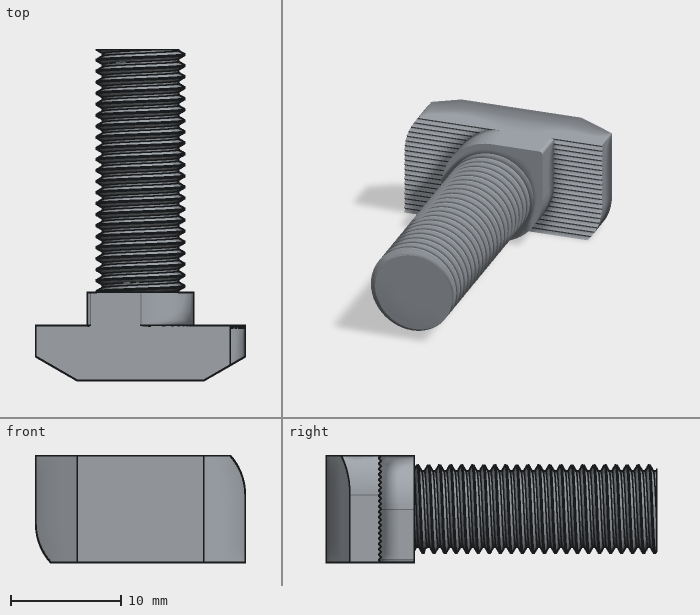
import cadquery as cq
import math


HEAD_LENGTH = 19.0
HEAD_WIDTH = 9.7
HEAD_THICKNESS = 5.0
HEAD_FLAT_LENGTH = 11.5
HEAD_CHAMFER_ANGLE = 30.0
CORNER_RADIUS = 5.3
CORNER_START = 1.3

TOOTH_COUNT = 20
TOOTH_PITCH = HEAD_WIDTH / TOOTH_COUNT
TOOTH_DEPTH = TOOTH_PITCH / 2

NECK_TOP = 8.0
NECK_SMALL_RADIUS = 0.3
NECK_LARGE_RADIUS = HEAD_WIDTH / 2

BOLT_LENGTH = 30.0
MAJOR_RADIUS = 4.0
PITCH = 1.0
FLANK_ANGLE = math.radians(60 / 2)
SHARP_HEIGHT = PITCH / 2 / math.tan(FLANK_ANGLE)
CREST_WIDTH = PITCH / 8
ROOT_WIDTH = PITCH / 4
THREAD_DEPTH = 5 / 8 * SHARP_HEIGHT
ROOT_RADIUS = MAJOR_RADIUS - THREAD_DEPTH
END_CREST_GAP = 0.45
ROOT_OVERLAP = 0.05
CORE_SEAM_ANGLE = 77.0


def extrude_along_bolt(profile, bottom, top):
    """Extrude a profile drawn in X and Z along Y, from bottom to top."""
    return profile.extrude(-(top - bottom)).translate((0, bottom, 0))


def make_head():
    half_length = HEAD_LENGTH / 2
    half_flat = HEAD_FLAT_LENGTH / 2
    half_width = HEAD_WIDTH / 2
    chamfer_height = (half_length - half_flat) * math.tan(math.radians(HEAD_CHAMFER_ANGLE))
    bar = (
        cq.Workplane("XY", origin=(0, 0, -half_width))
        .moveTo(-half_flat, 0)
        .lineTo(half_flat, 0)
        .lineTo(half_length, chamfer_height)
        .lineTo(half_length, HEAD_THICKNESS)
        .lineTo(-half_length, HEAD_THICKNESS)
        .lineTo(-half_length, chamfer_height)
        .close()
        .extrude(HEAD_WIDTH)
    )

    rise = half_width - CORNER_START
    corner_inset = CORNER_RADIUS - math.sqrt(CORNER_RADIUS**2 - rise**2)
    corner_x = half_length - corner_inset
    outline = (
        cq.Workplane("XZ")
        .moveTo(half_length, -half_width)
        .lineTo(half_length, CORNER_START)
        .radiusArc((corner_x, half_width), -CORNER_RADIUS)
        .lineTo(-half_length, half_width)
        .lineTo(-half_length, -CORNER_START)
        .radiusArc((-corner_x, -half_width), -CORNER_RADIUS)
        .close()
    )
    return bar.intersect(extrude_along_bolt(outline, 0, HEAD_THICKNESS))


def cut_serrations(head):
    """Cut V grooves along X into the underside of the head."""
    outline = cq.Workplane("YZ", origin=(-HEAD_LENGTH / 2, 0, 0)).moveTo(HEAD_THICKNESS, -HEAD_WIDTH / 2)
    for tooth in range(TOOTH_COUNT):
        crest_z = tooth * TOOTH_PITCH - HEAD_WIDTH / 2
        outline = outline.lineTo(HEAD_THICKNESS - TOOTH_DEPTH, crest_z + TOOTH_PITCH / 2)
        outline = outline.lineTo(HEAD_THICKNESS, crest_z + TOOTH_PITCH)
    grooves = outline.close().extrude(HEAD_LENGTH)
    return head.cut(grooves)


def make_neck():
    """Square neck with two opposite corners fully rounded and the other two just broken."""
    half = HEAD_WIDTH / 2
    small = half - NECK_SMALL_RADIUS
    large = half - NECK_LARGE_RADIUS
    outline = (
        cq.Workplane("XZ")
        .moveTo(-small, half)
        .lineTo(large, half)
        .radiusArc((half, large), NECK_LARGE_RADIUS)
        .lineTo(half, -small)
        .radiusArc((small, -half), NECK_SMALL_RADIUS)
        .lineTo(-large, -half)
        .radiusArc((-half, -large), NECK_LARGE_RADIUS)
        .lineTo(-half, small)
        .radiusArc((-small, half), NECK_SMALL_RADIUS)
        .close()
    )
    return extrude_along_bolt(outline, HEAD_THICKNESS - TOOTH_DEPTH, NECK_TOP)


def make_shank():
    """Core cylinder with a right-handed helical ridge, trimmed flat at both ends."""
    shank_length = BOLT_LENGTH - NECK_TOP
    turns = math.ceil(shank_length / PITCH) + 2
    helix_start = shank_length - END_CREST_GAP - (turns - 1) * PITCH

    inner_radius = ROOT_RADIUS - ROOT_OVERLAP
    inner_half_width = (PITCH - ROOT_WIDTH) / 2 + ROOT_OVERLAP * math.tan(FLANK_ANGLE)
    path = cq.Wire.makeHelix(PITCH, turns * PITCH, inner_radius)
    ridge = (
        cq.Workplane("XZ")
        .moveTo(inner_radius, -inner_half_width)
        .lineTo(MAJOR_RADIUS, -CREST_WIDTH / 2)
        .lineTo(MAJOR_RADIUS, CREST_WIDTH / 2)
        .lineTo(inner_radius, inner_half_width)
        .close()
        .sweep(cq.Workplane(path), isFrenet=True)
        .translate((0, 0, helix_start))
    )

    core = (
        cq.Workplane("XY", origin=(0, 0, helix_start - PITCH))
        .circle(ROOT_RADIUS)
        .extrude((turns + 2) * PITCH)
        .rotate((0, 0, 0), (0, 0, 1), CORE_SEAM_ANGLE)
    )
    trim_width = 4 * MAJOR_RADIUS
    trim = cq.Workplane("XY").rect(trim_width, trim_width).extrude(shank_length)
    shank = core.union(ridge).intersect(trim)
    return shank.rotate((0, 0, 0), (1, 0, 0), -90).translate((0, NECK_TOP, 0))


result = cut_serrations(make_head()).union(make_neck()).union(make_shank())